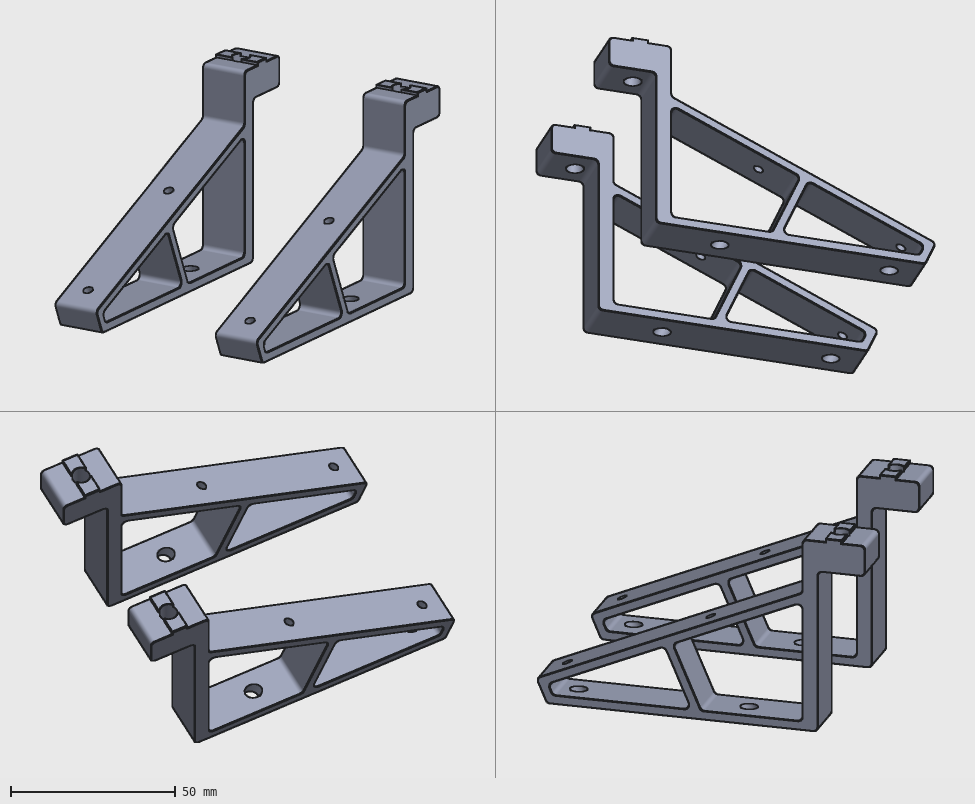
import cadquery as cq
import math

overall_width = 72.83
overall_length = 104.04
bracket_width = 15.2
bracket_center_x = (overall_width - bracket_width) / 2

column_thickness = 5.0
floor_thickness = 3.0
beam_thickness = 3.0
rib_thickness = 3.0
tip_wall = 3.0
beam_angle = 23.5
beam_start_height = 44.7
arm_length = 20.0
arm_height = 10.0
arm_top = 62.03
rib_start = 32.0
corner_radius = 1.5
edge_chamfer = 0.25

key_height = 1.0
key_length = 5.2
key_center_y = arm_length / 2
key_gap = 3.3
key_chamfer = 0.15

arm_hole_diameter = 5.5
beam_hole_diameter = 3.0
access_hole_diameter = 5.0
upper_hole_distance = 31.3
beam_hole_spacing = 49.5
lower_hole_offset = 0.3

slope = math.tan(math.radians(beam_angle))
cosine = math.cos(math.radians(beam_angle))
sine = math.sin(math.radians(beam_angle))

tip_reach = overall_length - arm_length
tip_center = tip_reach - corner_radius
tip_center_height = beam_start_height - tip_center * slope - corner_radius / cosine
tip_foot = tip_center + corner_radius / cosine - tip_center_height * slope


def beam_crossing(foot, depth):
    """Point where a line square to the beam, rising from the underside at
    distance `foot`, meets the line `depth` below the beam top."""
    height = (beam_start_height - depth / cosine - foot * slope) * cosine**2
    return (-(foot + height * slope), height)


def floor_point(foot):
    """Point at the floor's top surface on the same square line."""
    return (-(foot + floor_thickness * slope), floor_thickness)


def profile(points):
    """Extrude a Y-Z outline over the bracket width, centred on X = 0."""
    return cq.Workplane("YZ").polyline(points).close().extrude(bracket_width / 2, both=True)


def make_key():
    return (
        cq.Workplane("XY", origin=(0, key_center_y, arm_top))
        .rect(bracket_width, key_length)
        .extrude(key_height)
    )


def make_frame():
    outline = profile([
        (column_thickness, 0),
        (column_thickness, arm_top - arm_height),
        (arm_length, arm_top - arm_height),
        (arm_length, arm_top),
        (0, arm_top),
        (0, beam_start_height),
        beam_crossing(tip_foot, 0),
        (-tip_foot, 0),
    ]).edges("|X").fillet(corner_radius).union(make_key())

    rib_foot = rib_start - floor_thickness * slope
    rear_window = profile([
        (0, floor_thickness),
        (0, beam_start_height - beam_thickness / cosine),
        beam_crossing(rib_foot, beam_thickness),
        floor_point(rib_foot),
    ])
    rib_front_foot = rib_foot + rib_thickness / cosine
    window_tip_foot = tip_foot - tip_wall / cosine
    front_window = profile([
        floor_point(rib_front_foot),
        beam_crossing(rib_front_foot, beam_thickness),
        beam_crossing(window_tip_foot, beam_thickness),
        floor_point(window_tip_foot),
    ])
    frame = outline
    for window in (rear_window, front_window):
        frame = frame.cut(window.edges("|X").fillet(corner_radius))
    return frame.faces("<X or >X").edges().chamfer(edge_chamfer)


def cut_arm_hole(bracket):
    """Vertical bolt hole through the arm, which with a short slot splits the key in two."""
    key_base = cq.Workplane("XY", origin=(0, key_center_y, arm_top))
    bolt_hole = key_base.circle(arm_hole_diameter / 2).extrude(key_height + arm_height, both=True)
    slot = key_base.rect(key_gap, key_length).extrude(key_height)
    split_key = bracket.cut(bolt_hole).cut(slot)
    return split_key.faces(">Z").edges().chamfer(key_chamfer)


def cut_mounting_hole(bracket, x, distance):
    """Screw hole square to the beam, with a wider access hole in line through the floor."""
    axis = cq.Vector(0, sine, -cosine)
    entry = cq.Vector(x, -distance, beam_start_height - distance * slope)
    underside_depth = entry.z / cosine
    screw_hole = cq.Solid.makeCylinder(
        beam_hole_diameter / 2, 2 * beam_thickness, entry - axis * beam_thickness / 2, axis)
    access_start = underside_depth - 2 * floor_thickness
    access_hole = cq.Solid.makeCylinder(
        access_hole_diameter / 2, 3 * floor_thickness, entry + axis * access_start, axis)
    return bracket.cut(cq.Workplane(screw_hole)).cut(cq.Workplane(access_hole))


def make_bracket(side):
    """One bracket; side is -1 for the left one and +1 for the right one."""
    lower_hole_distance = upper_hole_distance + beam_hole_spacing * cosine
    bracket = cut_arm_hole(make_frame())
    bracket = cut_mounting_hole(bracket, 0, upper_hole_distance)
    bracket = cut_mounting_hole(bracket, side * lower_hole_offset, lower_hole_distance)
    return bracket.translate((side * bracket_center_x, 0, 0))


brackets = [make_bracket(side) for side in (-1, 1)]
result = cq.Compound.makeCompound([bracket.val() for bracket in brackets])